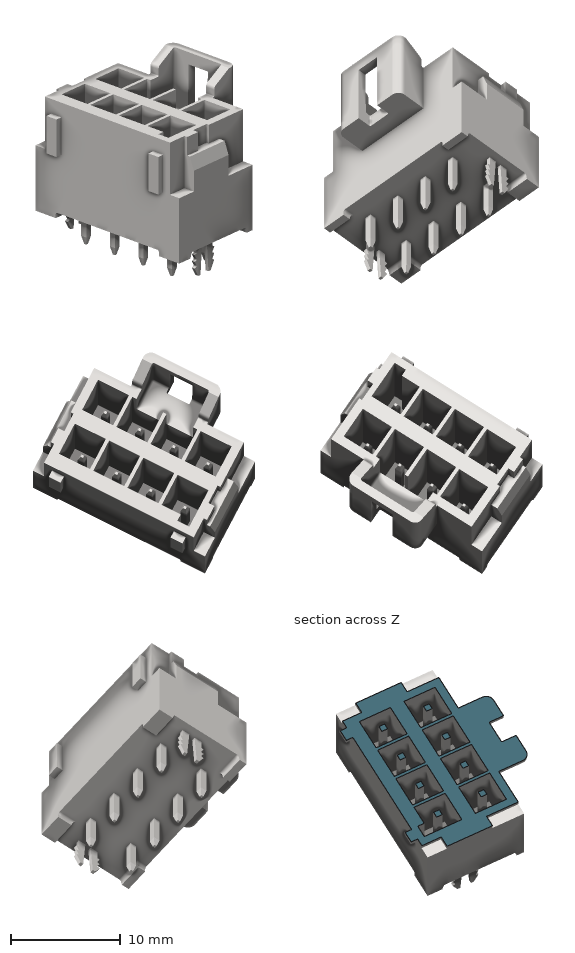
import cadquery as cq

WIDTH = 17.6
DEPTH = 10.0
HEIGHT = 11.74
SHOULDER_Z = 6.53
UPPER_WIDTH = 15.31

FOOT_HEIGHT = 0.58
FOOT_LENGTH_X = 2.48
FOOT_FRONT_Y = 1.53
FOOT_BACK_Y = 9.22
FOOT_SLOPE_RUN = 0.15
RECESS_RADIUS = 0.23

TAB_FRONT_Y = 1.99
TAB_BACK_Y = 6.72
TAB_TOP_Z = 9.87
TAB_BEVEL_Z = 8.6
TAB_BEVEL_RUN = 0.5
STEP_FRONT_Y = 3.47
STEP_BACK_Y = 5.32
STEP_OUT = 0.33
STEP_IN = 0.28

COLUMNS = 4
PITCH = 3.5
ROW_SPACING = 4.61
FRONT_ROW_Y = 2.95
CAVITY_SIZE = 3.17
CAVITY_FLOOR_Z = 2.11
PIN_SIZE = 0.63
PIN_TIP_SIZE = 0.25
PIN_TAPER = 0.83
PIN_BOTTOM_Z = -3.24
PIN_TOP_Z = 7.92

RIB_WIDTH = 1.21
RIB_DEPTH = 0.67
RIB_TOP_Z = 10.28
KEY_DEPTH = 0.67

LATCH_WIDTH = 7.81
LATCH_DEPTH = 3.24
LATCH_TOP_Z = 13.95
LATCH_CREST = 0.99
LATCH_CORNER_RADIUS = 0.8
ARM_REACH = 0.23
ARM_SHOULDER_Z = 12.75
ARM_SHOULDER_RADIUS = 0.48
ARM_ROOT_RADIUS = 0.12
POCKET_WIDTH = 5.8
POCKET_FLOOR_Z = 7.88
POCKET_RADIUS = 0.21
LATCH_WALL = 0.83
LATCH_WALL_DRAFT = 0.1
WINDOW_WIDTH = 2.35
WINDOW_TOP_Z = 12.75
WINDOW_INSET = 0.67
WINDOW_RADIUS = 0.12

CLIP_X = 7.76
CLIP_Y = 4.4
CLIP_THICKNESS = 0.35
CLIP_BOTTOM_Z = -2.68
CLIP_GAP_TOP = 0.3
CLIP_GAP_BOTTOM = 0.55
CLIP_FOOT = 0.85
CLIP_OUTER = 1.07
BARB_REACH = 0.26
BARB_COUNT = 3
BARB_PITCH = 0.67
BARB_FIRST_Z = -0.44
BARB_LIP = 0.09
BARB_SLOPE = 0.48

BACK_ROW_Y = FRONT_ROW_Y + ROW_SPACING
COLUMN_XS = [(i - (COLUMNS - 1) / 2) * PITCH for i in range(COLUMNS)]
CONTACTS = [(x, y) for y in (FRONT_ROW_Y, BACK_ROW_Y) for x in COLUMN_XS]
CAVITY_BACK_Y = BACK_ROW_Y + CAVITY_SIZE / 2
CAVITY_RIGHT_X = COLUMN_XS[-1] + CAVITY_SIZE / 2
LATCH_BACK_Y = DEPTH + LATCH_DEPTH


def block(x0, x1, y0, y1, z0, z1):
    """Box between two corners."""
    return cq.Workplane("XY").box(x1 - x0, y1 - y0, z1 - z0, centered=False).translate((x0, y0, z0))


def centred_block(width, y0, y1, z0, z1):
    """Box centred on the YZ plane."""
    return block(-width / 2, width / 2, y0, y1, z0, z1)


def both_ends(shape):
    """The shape together with its mirror image in the YZ plane."""
    return shape.union(shape.mirror("YZ"))


def nearest_edge(shape, point):
    return shape.edges(cq.selectors.NearestToPointSelector(point))


def side_tab():
    outer = WIDTH / 2
    inner = UPPER_WIDTH / 2 - STEP_IN
    profile = [
        (inner, SHOULDER_Z),
        (outer, SHOULDER_Z),
        (outer, TAB_BEVEL_Z),
        (outer - TAB_BEVEL_RUN, TAB_TOP_Z),
        (inner, TAB_TOP_Z),
    ]
    tab_length = TAB_BACK_Y - TAB_FRONT_Y
    return cq.Workplane("XZ", origin=(0, TAB_FRONT_Y, 0)).polyline(profile).close().extrude(-tab_length)


def foot_recesses():
    clear_width = WIDTH - 2 * FOOT_LENGTH_X
    lengthwise = centred_block(clear_width, 0, DEPTH, 0, FOOT_HEIGHT)
    lengthwise = lengthwise.edges("|Y and >Z").fillet(RECESS_RADIUS)
    profile = [
        (FOOT_FRONT_Y, 0),
        (FOOT_BACK_Y, 0),
        (FOOT_BACK_Y - FOOT_SLOPE_RUN, FOOT_HEIGHT),
        (FOOT_FRONT_Y + FOOT_SLOPE_RUN, FOOT_HEIGHT),
    ]
    crosswise = cq.Workplane("YZ").polyline(profile).close().extrude(WIDTH / 2, both=True)
    crosswise = crosswise.edges("|X and >Z").fillet(RECESS_RADIUS)
    return lengthwise.union(crosswise)


def housing():
    upper_half = UPPER_WIDTH / 2
    body = centred_block(WIDTH, 0, DEPTH, 0, SHOULDER_Z)
    body = body.union(centred_block(UPPER_WIDTH, 0, DEPTH, SHOULDER_Z, HEIGHT))
    step_out = block(upper_half, upper_half + STEP_OUT, TAB_FRONT_Y, STEP_FRONT_Y, SHOULDER_Z, HEIGHT)
    step_in = block(upper_half - STEP_IN, upper_half, STEP_FRONT_Y, STEP_BACK_Y, TAB_TOP_Z, HEIGHT)
    body = body.union(both_ends(side_tab())).union(both_ends(step_out))
    return body.cut(both_ends(step_in)).cut(foot_recesses())


def latch_frame():
    arm_y = DEPTH + ARM_REACH
    profile = [
        (CAVITY_BACK_Y, SHOULDER_Z),
        (LATCH_BACK_Y, SHOULDER_Z),
        (LATCH_BACK_Y, LATCH_TOP_Z),
        (LATCH_BACK_Y - LATCH_CREST, LATCH_TOP_Z),
        (arm_y, ARM_SHOULDER_Z),
        (arm_y, HEIGHT),
        (CAVITY_BACK_Y, HEIGHT),
    ]
    frame = cq.Workplane("YZ").polyline(profile).close().extrude(LATCH_WIDTH / 2, both=True)
    frame = nearest_edge(frame, (0, arm_y, ARM_SHOULDER_Z)).fillet(ARM_SHOULDER_RADIUS)
    frame = nearest_edge(frame, (0, arm_y, HEIGHT)).fillet(ARM_ROOT_RADIUS)
    return frame.edges("|Z and >Y").fillet(LATCH_CORNER_RADIUS)


def latch_openings():
    wall_y = LATCH_BACK_Y - LATCH_WALL
    profile = [
        (CAVITY_BACK_Y, POCKET_FLOOR_Z),
        (wall_y - LATCH_WALL_DRAFT, POCKET_FLOOR_Z),
        (wall_y, LATCH_TOP_Z),
        (CAVITY_BACK_Y, LATCH_TOP_Z),
    ]
    pocket = cq.Workplane("YZ").polyline(profile).close().extrude(POCKET_WIDTH / 2, both=True)
    drafted_edges = "not (|X or |Y or |Z)"
    floor_edges = "<Z and (not <Y)"
    pocket = pocket.edges(f"({drafted_edges}) or ({floor_edges})").fillet(POCKET_RADIUS)
    window = centred_block(WINDOW_WIDTH, wall_y - WINDOW_INSET, LATCH_BACK_Y, SHOULDER_Z, WINDOW_TOP_Z)
    window = window.edges("|Z and <Y").fillet(WINDOW_RADIUS)
    return pocket.union(window)


def cavities():
    cavity_height = HEIGHT - CAVITY_FLOOR_Z
    plane = cq.Workplane("XY", origin=(0, 0, CAVITY_FLOOR_Z))
    pockets = plane.pushPoints(CONTACTS).rect(CAVITY_SIZE, CAVITY_SIZE).extrude(cavity_height)
    key_front_y = FRONT_ROW_Y - CAVITY_SIZE / 2 - KEY_DEPTH
    key_slot = block(CAVITY_RIGHT_X - RIB_WIDTH, CAVITY_RIGHT_X, key_front_y, FRONT_ROW_Y, CAVITY_FLOOR_Z, HEIGHT)
    return pockets.union(key_slot)


def pin_taper(base_z, tip_z):
    """Square taper from the full pin section to its tip."""
    return (
        cq.Workplane("XY", origin=(0, 0, base_z))
        .rect(PIN_SIZE, PIN_SIZE)
        .workplane(offset=tip_z - base_z)
        .rect(PIN_TIP_SIZE, PIN_TIP_SIZE)
        .loft(ruled=True)
    )


def pin():
    shank_bottom = PIN_BOTTOM_Z + PIN_TAPER
    shank_top = PIN_TOP_Z - PIN_TAPER
    half = PIN_SIZE / 2
    shank = block(-half, half, -half, half, shank_bottom, shank_top)
    solder_tip = pin_taper(shank_bottom, PIN_BOTTOM_Z)
    mating_tip = pin_taper(shank_top, PIN_TOP_Z)
    return shank.union(solder_tip).union(mating_tip)


def clip_prong():
    """One prong, barbed on its +Y edge, for the clip at the +X end."""
    outline = [(CLIP_GAP_TOP, FOOT_HEIGHT), (CLIP_OUTER, FOOT_HEIGHT)]
    for i in range(BARB_COUNT):
        tip_z = BARB_FIRST_Z - i * BARB_PITCH
        outline.append((CLIP_OUTER, tip_z + BARB_LIP))
        outline.append((CLIP_OUTER + BARB_REACH, tip_z))
        if i < BARB_COUNT - 1:
            outline.append((CLIP_OUTER, tip_z - BARB_SLOPE))
    outline.append((CLIP_FOOT, CLIP_BOTTOM_Z))
    outline.append((CLIP_GAP_BOTTOM, CLIP_BOTTOM_Z))
    plane = cq.Workplane("YZ", origin=(CLIP_X, 0, 0))
    return plane.polyline(outline).close().extrude(CLIP_THICKNESS / 2, both=True)


def board_clips():
    prong = clip_prong()
    clip = prong.union(prong.mirror("XZ")).translate((0, CLIP_Y, 0))
    return both_ends(clip)


front_rib = block(CAVITY_RIGHT_X - RIB_WIDTH, CAVITY_RIGHT_X, -RIB_DEPTH, 0, SHOULDER_Z, RIB_TOP_Z)

result = housing().union(latch_frame()).union(both_ends(front_rib))
result = result.cut(latch_openings()).cut(cavities())
for contact_x, contact_y in CONTACTS:
    result = result.union(pin().translate((contact_x, contact_y, 0)))
result = result.union(board_clips())